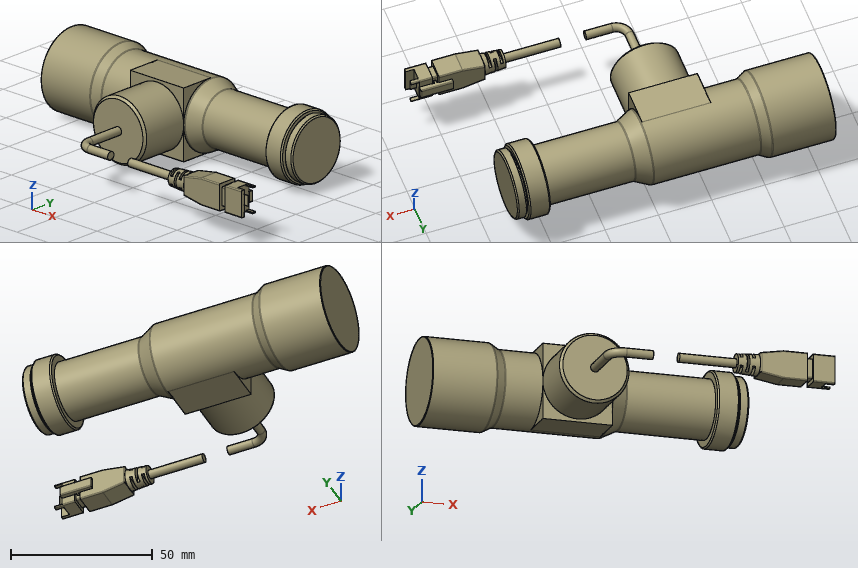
import cadquery as cq

HEAD_RADIUS = 16.0
HEAD_END = 23.9
TUBE_START = 27.5
TUBE_RADIUS = 14.0
TUBE_END = 67.8
NECK_START = 73.6
NECK_RADIUS = 11.0
TAPER_ROUNDING = 0.8
FLANGE_START = 106.5
FLANGE_END = 114.5
END_RING_START = 115.2
END_RING_END = 118.4
END_RING_RADIUS = 12.8
END_NECK_RADIUS = 12.0
RIM_CHAMFER = 0.5

BRANCH_X = 54.3
BRANCH_RADIUS = 12.9
BRANCH_END_Y = -34.1
BRANCH_CHAMFER = 1.0

CABLE_RADIUS = 1.6
CABLE_Y = -53.9
BEND_RADIUS = 5.0
STUB_END_X = 69.3
TAIL_START_X = 78.9

RELIEF_START = 100.1
RELIEF_SMALL_RADIUS = 3.4
RELIEF_LARGE_RADIUS = 4.0
RELIEF_CORE = 3.1
SLOT_WIDTH = 1.0
SIDE_SLOT_X = 103.8
TOP_SLOTS_X = (101.5, 105.9)

GRIP_START = 108.1
GRIP_FLARE_END = 116.7
GRIP_END = 125.5
GRIP_DEPTH = 8.1
GRIP_NARROW_HEIGHT = 7.3
GRIP_HEIGHT = 10.3
PLUG_NECK_DEPTH = 5.2
PLUG_NECK_HEIGHT = 7.3
SHELL_START = 127.8
SHELL_END = 135.8
SHELL_DEPTH = 7.3
SHELL_HEIGHT = 10.3
MOUTH_START = 132.7
MOUTH_DEPTH = 4.3
MOUTH_HEIGHT = 9.2
TONGUE_END = 135.1
TONGUE_THICKNESS = 0.1
TONGUE_HEIGHT = 4.1
TONGUE_OFFSET = 0.5
EDGE_ROUNDING = 0.4
LATCH_START = 120.6
LATCH_END = 132.8
LATCH_TOP_Y = -48.3
LATCH_HEIGHT = 4.1
POST_WIDTH = 0.8


def block(x_start, x_end, depth, height, center_y=CABLE_Y):
    """Box spanning an X range, centred in Y on center_y and in Z on zero."""
    return cq.Workplane("YZ", origin=(x_start, center_y, 0)).rect(depth, height).extrude(x_end - x_start)


def make_housing():
    profile = [
        (0, 0),
        (0, HEAD_RADIUS - RIM_CHAMFER / 2),
        (RIM_CHAMFER / 2, HEAD_RADIUS),
        (HEAD_END, HEAD_RADIUS),
        (TUBE_START, TUBE_RADIUS),
        (TUBE_END, TUBE_RADIUS),
        (NECK_START, NECK_RADIUS),
        (FLANGE_START, NECK_RADIUS),
        (FLANGE_START, TUBE_RADIUS - RIM_CHAMFER),
        (FLANGE_START + RIM_CHAMFER, TUBE_RADIUS),
        (FLANGE_END - RIM_CHAMFER, TUBE_RADIUS),
        (FLANGE_END, TUBE_RADIUS - RIM_CHAMFER),
        (FLANGE_END, END_NECK_RADIUS),
        (END_RING_START, END_NECK_RADIUS),
        (END_RING_START, END_RING_RADIUS),
        (END_RING_END - RIM_CHAMFER, END_RING_RADIUS),
        (END_RING_END, END_RING_RADIUS - RIM_CHAMFER),
        (END_RING_END, 0),
    ]
    barrel = cq.Workplane("XY").polyline(profile).close().revolve(360, (0, 0, 0), (1, 0, 0))
    for taper_x in (HEAD_END, TUBE_START, TUBE_END, NECK_START):
        corner = cq.selectors.BoxSelector(
            (taper_x - TAPER_ROUNDING, -HEAD_RADIUS, -HEAD_RADIUS),
            (taper_x + TAPER_ROUNDING, HEAD_RADIUS, HEAD_RADIUS),
        )
        barrel = barrel.edges("%CIRCLE").edges(corner).fillet(TAPER_ROUNDING)
    saddle = block(
        BRANCH_X - BRANCH_RADIUS, BRANCH_X + BRANCH_RADIUS, TUBE_RADIUS, 2 * TUBE_RADIUS, -TUBE_RADIUS / 2
    )
    branch = (
        cq.Workplane("XZ", origin=(BRANCH_X, 0, 0))
        .circle(BRANCH_RADIUS)
        .extrude(-BRANCH_END_Y)
        .faces("<Y")
        .chamfer(BRANCH_CHAMFER)
    )
    return barrel.union(saddle).union(branch)


def make_cable_stub():
    """Cable leaving the branch along -Y and bending round to +X."""
    path = (
        cq.Workplane("XY")
        .moveTo(BRANCH_X, BRANCH_END_Y)
        .lineTo(BRANCH_X, CABLE_Y + BEND_RADIUS)
        .radiusArc((BRANCH_X + BEND_RADIUS, CABLE_Y), -BEND_RADIUS)
        .lineTo(STUB_END_X, CABLE_Y)
    )
    return cq.Workplane("XZ", origin=(BRANCH_X, BRANCH_END_Y, 0)).circle(CABLE_RADIUS).sweep(path)


def make_strain_relief():
    length = GRIP_START - RELIEF_START
    sleeve = (
        cq.Workplane("YZ", origin=(RELIEF_START, CABLE_Y, 0))
        .circle(RELIEF_SMALL_RADIUS)
        .workplane(offset=length)
        .circle(RELIEF_LARGE_RADIUS)
        .loft()
    )
    width = 2 * RELIEF_LARGE_RADIUS
    offset = (RELIEF_CORE + width) / 2
    for side in (-1, 1):
        slot = cq.Workplane("XY").box(SLOT_WIDTH, width, width)
        sleeve = sleeve.cut(slot.translate((SIDE_SLOT_X, CABLE_Y + side * offset, 0)))
        for slot_x in TOP_SLOTS_X:
            sleeve = sleeve.cut(slot.translate((slot_x, CABLE_Y, side * offset)))
    return sleeve


def make_grip():
    """Plug body: flares in height towards the front, then runs straight."""
    low = GRIP_NARROW_HEIGHT / 2
    high = GRIP_HEIGHT / 2
    outline = [
        (GRIP_START, -low),
        (GRIP_START, low),
        (GRIP_FLARE_END, high),
        (GRIP_END, high),
        (GRIP_END, -high),
        (GRIP_FLARE_END, -high),
    ]
    return (
        cq.Workplane("XZ", origin=(0, CABLE_Y + GRIP_DEPTH / 2, 0))
        .polyline(outline)
        .close()
        .extrude(GRIP_DEPTH)
        .faces("<Y or >Y")
        .edges("not >X")
        .fillet(EDGE_ROUNDING)
    )


def make_shell():
    """Front end of the plug: a mouth open to +Z, -Z and +Y, with a thin tongue inside."""
    shell = block(SHELL_START, SHELL_END, SHELL_DEPTH, SHELL_HEIGHT).edges("|X").fillet(EDGE_ROUNDING)
    mouth = block(MOUTH_START, SHELL_END, MOUTH_DEPTH, SHELL_HEIGHT)
    side_opening = block(MOUTH_START, SHELL_END, SHELL_DEPTH, MOUTH_HEIGHT, CABLE_Y + SHELL_DEPTH / 2)
    tongue = block(MOUTH_START, TONGUE_END, TONGUE_THICKNESS, TONGUE_HEIGHT, CABLE_Y + TONGUE_OFFSET)
    return shell.cut(mouth).cut(side_opening).union(tongue)


def make_latch():
    """Flat bar along the +Y side of the plug, with a post down to the plug neck."""
    bar_bottom_y = CABLE_Y + SHELL_DEPTH / 2
    bar = block(
        LATCH_START, LATCH_END, LATCH_TOP_Y - bar_bottom_y, LATCH_HEIGHT, (LATCH_TOP_Y + bar_bottom_y) / 2
    )
    bar = bar.faces(">Y").edges("not <X").fillet(EDGE_ROUNDING)
    post_x = (GRIP_END + SHELL_START) / 2
    post_depth = LATCH_TOP_Y - EDGE_ROUNDING - CABLE_Y
    post = block(
        post_x - POST_WIDTH / 2, post_x + POST_WIDTH / 2, post_depth, LATCH_HEIGHT, CABLE_Y + post_depth / 2
    )
    return bar.union(post)


def make_plug():
    tail = cq.Workplane("YZ", origin=(TAIL_START_X, CABLE_Y, 0)).circle(CABLE_RADIUS)
    tail = tail.extrude(RELIEF_START - TAIL_START_X)
    neck = block(GRIP_END, SHELL_START, PLUG_NECK_DEPTH, PLUG_NECK_HEIGHT).edges("|X").fillet(EDGE_ROUNDING)
    return (
        tail.union(make_strain_relief())
        .union(make_grip())
        .union(neck)
        .union(make_shell())
        .union(make_latch())
    )


housing = make_housing()
cable_stub = make_cable_stub()
plug = make_plug()

result = cq.Compound.makeCompound([housing.val(), cable_stub.val(), plug.val()])